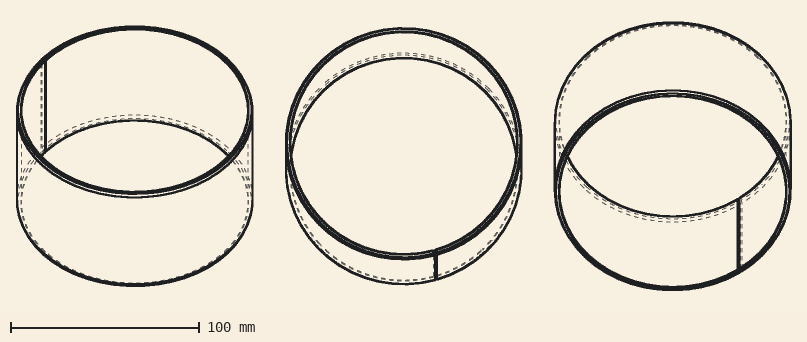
import cadquery as cq

outer_diameter = 125.0
wall = 2.5
length = 70.0
slit_width = 1.0

outer_chamfer_length = 2.0
outer_chamfer_depth = 0.68

bore_chamfer = 0.35

outer_radius = outer_diameter / 2
bore_radius = outer_radius - wall
half_length = length / 2


def sleeve():
    """Revolve the wall section, chamfered at both ends, about the Z axis."""
    section = (
        cq.Workplane("XZ")
        .moveTo(bore_radius + bore_chamfer, -half_length)
        .lineTo(outer_radius - outer_chamfer_depth, -half_length)
        .lineTo(outer_radius, -half_length + outer_chamfer_length)
        .lineTo(outer_radius, half_length - outer_chamfer_length)
        .lineTo(outer_radius - outer_chamfer_depth, half_length)
        .lineTo(bore_radius + bore_chamfer, half_length)
        .lineTo(bore_radius, half_length - bore_chamfer)
        .lineTo(bore_radius, -half_length + bore_chamfer)
        .close()
    )
    return section.revolve(360, (0, 0, 0), (0, 1, 0))


def slit_cutter():
    """Box reaching from the axis out past the wall on the -X side."""
    cutter = cq.Workplane("XY").box(outer_diameter, slit_width, length)
    return cutter.translate((-outer_radius, slit_width / 2, 0))


result = sleeve().cut(slit_cutter())